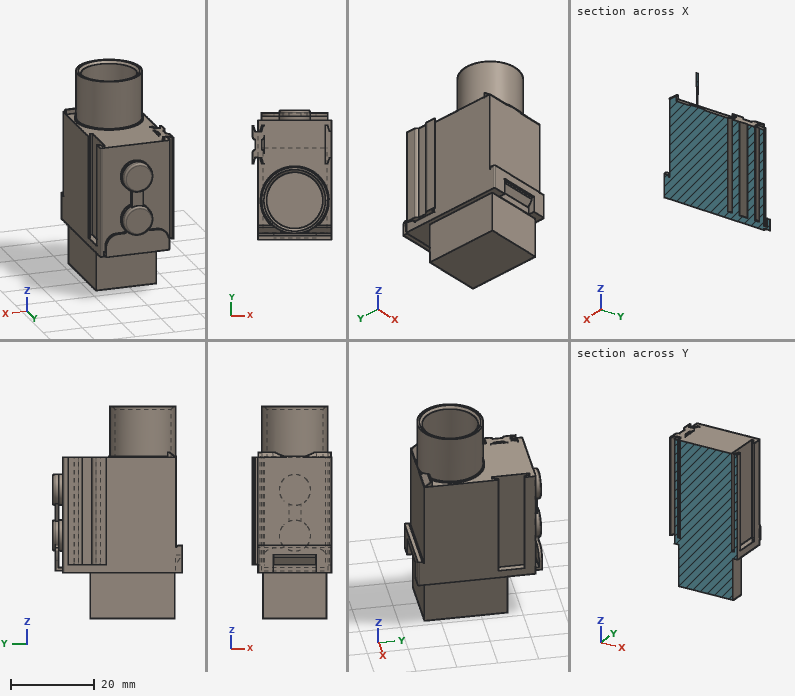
import cadquery as cq
import math


body_width = 17.75
body_front_y = -8.0
body_back_y = 19.3
body_bottom_z = 11.0
body_top_z = 38.8
body_side_x = body_width / 2
corner_radius = 0.3

plug_width = 15.35
plug_front_y = -7.7
plug_depth = 20.35

tube_diameter = 15.9
bore_diameter = 13.5
bore_chamfer = 0.65
tube_top_z = 51.0
collar_diameter = 16.5
collar_height = 0.25

ledge_width = 17.55
ledge_back_y = -6.0
ledge_crest_y = -6.4
ledge_toe_y = -7.85
ledge_height = 1.15

clip_front_y = -9.5
clip_top_z = 17.6
clip_notch = 0.45
window_width = 10.4
window_top_z = 15.4
window_floor_y = -7.8
ramp_width = 10.1
ramp_front_y = -8.95
ramp_top_z = 14.76
ramp_bottom_z = 12.9

slot_y = 13.4
slot_bottom_z = 12.95
slot_depth = 1.58
slot_neck_half = 3.2
slot_neck_depth = 0.52
slot_wide_half = 4.63
slot_slope_end = 0.98
rail_outer_x = -10.175
rail_neck_half = 3.1
rail_wide_half = 4.55
rail_tip = 0.28
rail_slope = 0.42
rail_thickness = slot_depth - body_side_x - rail_outer_x
groove_half = 1.15
groove_depth = 0.65
groove_lip_radius = 1.0

button_diameter = 7.4
button_height = 2.4
spacer_diameter = 7.5
button_fillet = 0.5
button_heights_z = (20.0, 31.0)
strap_inner = 0.95
strap_thickness = 0.8
strap_neck_width = 2.9
strap_base_width = 16.0
strap_base_bottom_z = 11.45
strap_base_top_z = 17.0
strap_corner_radius = 3.0
strap_web_radius = 0.5
strap_flange_thickness = 0.85


def box(x_min, x_max, y_min, y_max, z_min, z_max):
    """Box given by its limits along each axis."""
    block = cq.Workplane("XY").box(x_max - x_min, y_max - y_min, z_max - z_min, centered=False)
    return block.translate((x_min, y_min, z_min))


def side_profile(points, width):
    """Prism along X, centred on X = 0, from a (Y, Z) outline."""
    return cq.Workplane("YZ").polyline(points).close().extrude(width / 2, both=True)


def make_body():
    block = box(-body_side_x, body_side_x, body_front_y, body_back_y, body_bottom_z, body_top_z)
    block = block.edges("|Z and >Y").fillet(corner_radius)
    half_plug = plug_width / 2
    plug = box(-half_plug, half_plug, plug_front_y, plug_front_y + plug_depth, 0, body_bottom_z)
    return block.union(plug)


def make_tube():
    """Tube with its collar, whose front is cut flush with the block."""
    collar = cq.Workplane("XY", origin=(0, 0, body_top_z)).circle(collar_diameter / 2).extrude(collar_height)
    flush_cut = box(-body_side_x, body_side_x, clip_front_y, body_front_y, body_top_z, tube_top_z)
    outside = cq.Workplane("XY", origin=(0, 0, body_top_z)).circle(tube_diameter / 2)
    return outside.extrude(tube_top_z - body_top_z).union(collar.cut(flush_cut))


def make_bore():
    bore = cq.Workplane("XY", origin=(0, 0, body_top_z)).circle(bore_diameter / 2)
    bore = bore.extrude(tube_top_z - body_top_z)
    mouth = cq.Workplane("XY", origin=(0, 0, tube_top_z)).circle(bore_diameter / 2 + bore_chamfer)
    return bore.union(mouth.extrude(-bore_chamfer, taper=45))


def make_ledge():
    crest_z = body_top_z + ledge_height
    outline = [
        (ledge_back_y, body_top_z),
        (ledge_back_y, crest_z),
        (ledge_crest_y, crest_z),
        (ledge_toe_y, body_top_z),
    ]
    return side_profile(outline, ledge_width)


def make_clip():
    """Front clip bar with a V-notch behind its top edge."""
    bar = box(-body_side_x, body_side_x, clip_front_y, body_front_y, body_bottom_z, clip_top_z)
    bar = bar.edges("|Z and <Y").fillet(corner_radius)
    notch = [
        (body_front_y, clip_top_z),
        (body_front_y - clip_notch, clip_top_z),
        (body_front_y, clip_top_z - clip_notch),
    ]
    return bar.cut(side_profile(notch, body_width))


def make_window():
    """Clip opening, less the ramp that overhangs its upper part."""
    half = window_width / 2
    opening = box(-half, half, clip_front_y, window_floor_y, body_bottom_z, window_top_z)
    ramp = [
        (window_floor_y, window_top_z),
        (ramp_front_y, window_top_z),
        (ramp_front_y, ramp_top_z),
        (window_floor_y, ramp_bottom_z),
    ]
    return opening.cut(side_profile(ramp, ramp_width))


def make_slot():
    """Blind dovetail slot in the -X side, open at the top."""
    neck_x = -body_side_x + slot_neck_depth
    slope_x = -body_side_x + slot_slope_end
    floor_x = -body_side_x + slot_depth
    back = [
        (-body_side_x, slot_neck_half),
        (neck_x, slot_neck_half),
        (slope_x, slot_wide_half),
        (floor_x, slot_wide_half),
    ]
    front = [(x, -y) for x, y in reversed(back)]
    profile = cq.Workplane("XY", origin=(0, slot_y, slot_bottom_z)).polyline(back + front).close()
    return profile.extrude(body_top_z - slot_bottom_z)


def make_rail():
    """Double dovetail rail with a round-edged groove along each broad face."""
    half = rail_thickness / 2
    height = body_top_z - slot_bottom_z
    tip_x = half - rail_tip
    neck_x = tip_x - rail_slope
    corner = [
        (half, rail_wide_half),
        (tip_x, rail_wide_half),
        (neck_x, rail_neck_half),
    ]
    back = corner + [(-x, y) for x, y in reversed(corner)]
    front = [(-x, -y) for x, y in back]
    rail = cq.Workplane("XY").polyline(back + front).close().extrude(height)

    radius = groove_lip_radius
    sweep = math.acos(1 - groove_depth / radius)
    lip_half = groove_half + radius * math.sin(sweep)
    bottom_x = half - groove_depth
    arc_x = half - radius + radius * math.cos(sweep / 2)
    arc_y = lip_half - radius * math.sin(sweep / 2)
    groove = (
        cq.Workplane("XY")
        .moveTo(bottom_x, -groove_half)
        .lineTo(bottom_x, groove_half)
        .threePointArc((arc_x, arc_y), (half, lip_half))
        .lineTo(half, -lip_half)
        .threePointArc((arc_x, -arc_y), (bottom_x, -groove_half))
        .close()
        .extrude(height)
    )
    rail = rail.cut(groove).cut(groove.mirror("YZ"))
    return rail.translate((rail_outer_x + half, slot_y, slot_bottom_z))


def make_button(center_z):
    """Round-edged button with a slightly wider spacer under the strap."""
    base = cq.Workplane("XZ", origin=(0, body_back_y, center_z))
    button = base.circle(button_diameter / 2).extrude(-button_height)
    button = button.faces(">Y").edges().fillet(button_fillet)
    return button.union(base.circle(spacer_diameter / 2).extrude(-strap_inner))


def make_strap():
    """Flat strap running from a flanged base plate up through both buttons."""
    inner_y = body_back_y + strap_inner
    outer_y = inner_y + strap_thickness
    half_base = strap_base_width / 2
    base = box(-half_base, half_base, inner_y, outer_y, strap_base_bottom_z, strap_base_top_z)
    base = base.edges("|Y and >Z").fillet(strap_corner_radius)
    disc = cq.Workplane("XZ", origin=(0, inner_y, button_heights_z[0])).circle(button_diameter / 2)
    plate = base.union(disc.extrude(-strap_thickness))

    drop = button_heights_z[0] - strap_base_top_z
    meet_x = math.sqrt((button_diameter / 2) ** 2 - drop ** 2)
    for x in (-meet_x, meet_x):
        corner = cq.selectors.NearestToPointSelector((x, inner_y + strap_thickness / 2, strap_base_top_z))
        plate = plate.edges("|Y").edges(corner).fillet(strap_web_radius)

    half_neck = strap_neck_width / 2
    neck = box(-half_neck, half_neck, inner_y, outer_y, *button_heights_z)
    flange_top_z = strap_base_bottom_z + strap_flange_thickness
    flange = box(-half_base, half_base, body_back_y, outer_y, strap_base_bottom_z, flange_top_z)
    return plate.union(neck).union(flange)


slot = make_slot()

result = make_body().union(make_clip()).cut(make_window())
result = result.cut(slot).cut(slot.mirror("YZ")).union(make_rail())
result = result.union(make_ledge()).union(make_tube()).cut(make_bore())
result = result.union(make_strap())
for button_z in button_heights_z:
    result = result.union(make_button(button_z))